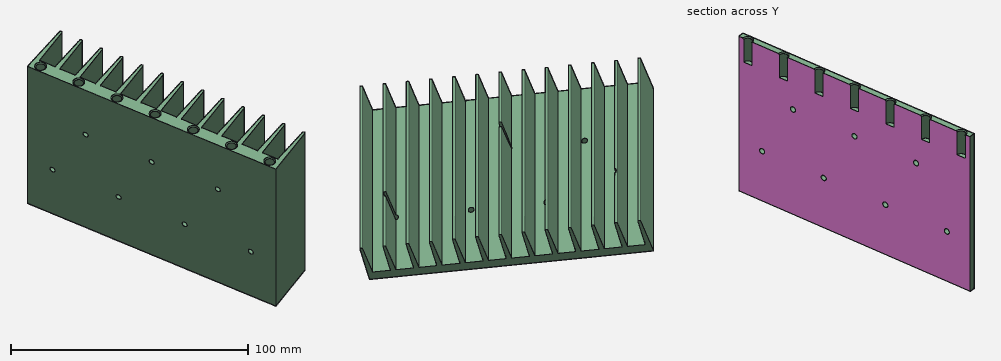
import cadquery as cq

width = 122.0
depth = 25.6
height = 80.0

base_thickness = 5.7

fin_count = 13
fin_root_width = 2.7
fin_tip_width = 1.2
fin_pitch = (width - fin_root_width) / (fin_count - 1)

bore_count = 7
bore_edge_distance = 4.8
bore_pitch = (width - 2 * bore_edge_distance) / (bore_count - 1)
bore_diameter = 4.0
bore_mouth_diameter = 5.0
bore_depth = 12.2
bore_chamfer = (bore_mouth_diameter - bore_diameter) / 2

mount_diameter = 2.5
mount_pitch = 32.5
mount_row_spacing = 28.4
upper_row_count = 3
lower_row_count = 4


def centred_positions(count, pitch):
    """Evenly spaced X positions, symmetric about x = 0."""
    return [(i - (count - 1) / 2) * pitch for i in range(count)]


def make_base():
    """Flat plate spanning the centres of the end fins, which form its sloping sides."""
    span = (fin_count - 1) * fin_pitch
    return cq.Workplane("XY").box(span, base_thickness, height, centered=(True, False, True))


def make_fin(x):
    """Full-height tapered fin whose tip is a half-round."""
    root_half = fin_root_width / 2
    tip_half = fin_tip_width / 2
    tip_start = depth - tip_half
    return (
        cq.Workplane("XY", origin=(x, 0, -height / 2))
        .moveTo(-root_half, 0)
        .lineTo(root_half, 0)
        .lineTo(tip_half, tip_start)
        .threePointArc((0, depth), (-tip_half, tip_start))
        .close()
        .extrude(height)
    )


def make_bore(x):
    """Blind, flat-bottomed bore with a chamfered mouth, revolved about its own axis."""
    radius = bore_diameter / 2
    return (
        cq.Workplane("XZ", origin=(x, base_thickness / 2, height / 2))
        .moveTo(0, 0)
        .lineTo(bore_mouth_diameter / 2, 0)
        .lineTo(radius, -bore_chamfer)
        .lineTo(radius, -bore_depth)
        .lineTo(0, -bore_depth)
        .close()
        .revolve(360, (0, 0, 0), (0, 1, 0))
    )


def make_mount_row(count, z):
    """Row of round cutters running the whole depth along Y."""
    centres = [(x, z) for x in centred_positions(count, mount_pitch)]
    return cq.Workplane("XZ").pushPoints(centres).circle(mount_diameter / 2).extrude(-depth)


result = make_base()
for fin_x in centred_positions(fin_count, fin_pitch):
    result = result.union(make_fin(fin_x))
for bore_x in centred_positions(bore_count, bore_pitch):
    result = result.cut(make_bore(bore_x))
result = result.cut(make_mount_row(upper_row_count, mount_row_spacing / 2))
result = result.cut(make_mount_row(lower_row_count, -mount_row_spacing / 2))